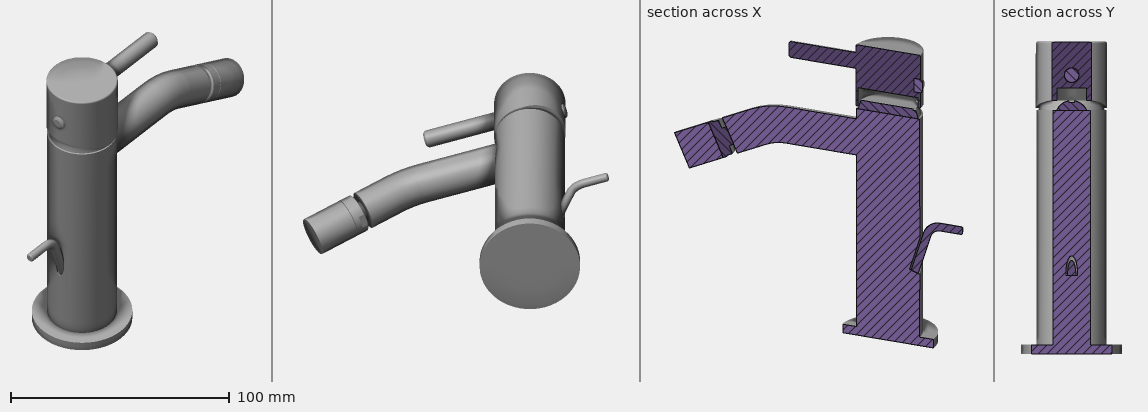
import cadquery as cq
import math


column_radius = 16.0
column_top = 111.5
flange_radius = 23.0
flange_thickness = 4.4

spout_radius = 9.0
spout_height = 97.4
spout_bend_start = 51.4
spout_bend_radius = 33.0
spout_slope = 25.0
spout_end_length = 16.0

neck_radius = 4.5
neck_length = 2.2
nut_length = 5.7
nut_chamfer = 0.4
flat_length = 3.1
flat_depth = 0.5
aerator_length = 18.7
aerator_chamfer = 0.3

handle_radius = 16.35
handle_bottom = 112.6
handle_top = 142.8
handle_edge_fillet = 0.8
relief_angle = 14.8
relief_start = -0.5
relief_overrun = 1.0
cavity_radius = 15.0
cavity_top = 121.6
lever_radius = 4.0
lever_height = 134.9
lever_end = 50.2
lever_chamfer = 1.0

collar_base_radius = 15.2
collar_shoulder_height = 1.9
dome_radius = 15.5
dome_center = 108.5
collar_top = 115.9
mark_width = 2.2
mark_depth = 0.6
mark_length = 1.0

plug_radius = 3.2
plug_height = 127.6
plug_depth_end = 13.0
plug_face = 17.4
plug_bevel_width = 1.2
plug_bevel_height = 0.5

rod_radius = 2.0
rod_height = 60.0
rod_end = 37.45
rod_bend_start = 26.2
rod_bend_radius = 7.0
rod_bend_angle = 72.0
rod_leg_length = 20.0
rod_chamfer = 0.5
rod_hole_radius = 2.6

slope = math.radians(spout_slope)
spout_direction = cq.Vector(0, math.cos(slope), -math.sin(slope))
spout_bend_end = cq.Vector(
    0,
    spout_bend_start + spout_bend_radius * math.sin(slope),
    spout_height - spout_bend_radius * (1 - math.cos(slope)),
)
spout_tip = spout_bend_end + spout_direction * spout_end_length


def spout_plane(distance):
    """Plane square to the sloping spout axis; its local Y points to the upper side."""
    return cq.Plane(
        origin=spout_tip + spout_direction * distance,
        xDir=(-1, 0, 0),
        normal=spout_direction,
    )


def bar_along_y(radius, height, start, end):
    """Round bar parallel to Y between two Y positions."""
    plane = cq.Plane(origin=(0, start, height), xDir=(1, 0, 0), normal=(0, math.copysign(1, end - start), 0))
    return cq.Workplane(plane).circle(radius).extrude(abs(end - start))


def make_spout():
    half = slope / 2
    bend_middle = (
        spout_bend_start + spout_bend_radius * math.sin(half),
        spout_height - spout_bend_radius * (1 - math.cos(half)),
    )
    path = (
        cq.Workplane("YZ")
        .moveTo(0, spout_height)
        .lineTo(spout_bend_start, spout_height)
        .threePointArc(bend_middle, (spout_bend_end.y, spout_bend_end.z))
        .lineTo(spout_tip.y, spout_tip.z)
    )
    return cq.Workplane("XZ", origin=(0, 0, spout_height)).circle(spout_radius).sweep(path)


def rod_bend_point(angle):
    """Y and Z of the rod axis after the bend has turned through an angle in radians."""
    return (
        -rod_bend_start + rod_bend_radius * math.sin(angle),
        rod_height - rod_bend_radius + rod_bend_radius * math.cos(angle),
    )


rod_turn = math.radians(rod_bend_angle)
leg_direction = cq.Vector(0, math.cos(rod_turn), -math.sin(rod_turn))
leg_start = cq.Vector(0, *rod_bend_point(rod_turn))
leg_end = leg_start + leg_direction * rod_leg_length


def make_drain_rod():
    path = (
        cq.Workplane("YZ")
        .moveTo(-rod_end, rod_height)
        .lineTo(-rod_bend_start, rod_height)
        .threePointArc(rod_bend_point(rod_turn / 2), (leg_start.y, leg_start.z))
        .lineTo(leg_end.y, leg_end.z)
    )
    rod = cq.Workplane("XZ", origin=(0, -rod_end, rod_height)).circle(rod_radius).sweep(path)
    return rod.faces("<Y").chamfer(rod_chamfer)


def make_rod_hole():
    """Clearance hole around the sloping leg; the rod rests on its flat bottom."""
    plane = cq.Plane(origin=leg_start, xDir=(1, 0, 0), normal=leg_direction)
    return cq.Workplane(plane).circle(rod_hole_radius).extrude(rod_leg_length)


def make_tap_body():
    """Flange, column and spout in one piece, with a hole for the drain rod."""
    flange = cq.Workplane("XY").circle(flange_radius).extrude(flange_thickness)
    column = cq.Workplane("XY").circle(column_radius).extrude(column_top)
    return flange.union(column).union(make_spout()).cut(make_rod_hole())


def make_collar():
    """Dome zone above a slightly conical shoulder, with an index notch in its top front edge."""
    shoulder = column_top + collar_shoulder_height

    def dome_radius_at(height):
        return math.sqrt(dome_radius**2 - (height - dome_center) ** 2)

    arc_middle = (shoulder + collar_top) / 2
    top_radius = dome_radius_at(collar_top)
    dome = (
        cq.Workplane("XZ")
        .moveTo(0, column_top)
        .lineTo(collar_base_radius, column_top)
        .lineTo(dome_radius_at(shoulder), shoulder)
        .threePointArc((dome_radius_at(arc_middle), arc_middle), (top_radius, collar_top))
        .lineTo(0, collar_top)
        .close()
        .revolve(360, (0, 0), (0, 1))
    )
    notch = (
        cq.Workplane("XY", origin=(0, -top_radius, collar_top - mark_depth))
        .rect(mark_width, 2 * mark_length)
        .extrude(mark_depth)
    )
    return dome.cut(notch)


def make_plug():
    """Round plug with a bevelled face, standing slightly proud of the handle."""
    plug = bar_along_y(plug_radius, plug_height, -plug_depth_end, -plug_face)
    return plug.faces("<Y").chamfer(plug_bevel_height, plug_bevel_width)


def make_handle(plug):
    """Hollow cap with its lever; the rim rises toward the front over the dome."""
    cap = (
        cq.Workplane("XY", origin=(0, 0, handle_bottom))
        .circle(handle_radius)
        .extrude(handle_top - handle_bottom)
        .faces(">Z")
        .edges()
        .fillet(handle_edge_fillet)
    )
    lever = bar_along_y(lever_radius, lever_height, 0, lever_end).faces(">Y").chamfer(lever_chamfer)
    cavity = (
        cq.Workplane("XY", origin=(0, 0, handle_bottom))
        .circle(cavity_radius)
        .extrude(cavity_top - handle_bottom)
    )
    relief_run = handle_radius + relief_overrun
    relief = (
        cq.Workplane("YZ")
        .moveTo(relief_start, handle_bottom)
        .lineTo(relief_start - relief_run, handle_bottom)
        .lineTo(relief_start - relief_run, handle_bottom + relief_run * math.tan(math.radians(relief_angle)))
        .close()
        .extrude(relief_run, both=True)
    )
    return cap.union(lever).cut(cavity).cut(relief).cut(plug)


def make_swivel_nut():
    """Short neck and a nut with two opposite wrench flats."""
    neck = cq.Workplane(spout_plane(0)).circle(neck_radius).extrude(neck_length)
    nut = (
        cq.Workplane(spout_plane(neck_length))
        .circle(spout_radius)
        .extrude(nut_length)
        .faces(cq.selectors.DirectionMinMaxSelector(spout_direction, False))
        .chamfer(nut_chamfer)
    )
    flat_center = spout_radius - flat_depth / 2
    flats = (
        cq.Workplane(spout_plane(neck_length))
        .pushPoints([(0, flat_center), (0, -flat_center)])
        .rect(2 * spout_radius, flat_depth)
        .extrude(flat_length)
    )
    return neck.union(nut.cut(flats))


def make_aerator():
    """Plain sleeve end with a fine chamfer where it meets the nut."""
    return (
        cq.Workplane(spout_plane(neck_length + nut_length))
        .circle(spout_radius)
        .extrude(aerator_length)
        .faces(cq.selectors.DirectionMinMaxSelector(spout_direction, False))
        .chamfer(aerator_chamfer)
    )


drain_rod = make_drain_rod()
tap_body = make_tap_body()
collar = make_collar()
index_plug = make_plug()
handle = make_handle(index_plug)
swivel_nut = make_swivel_nut()
aerator = make_aerator()

result = cq.Compound.makeCompound(
    [
        tap_body.solids().val(),
        collar.solids().val(),
        handle.solids().val(),
        index_plug.solids().val(),
        drain_rod.solids().val(),
        swivel_nut.solids().val(),
        aerator.solids().val(),
    ]
)